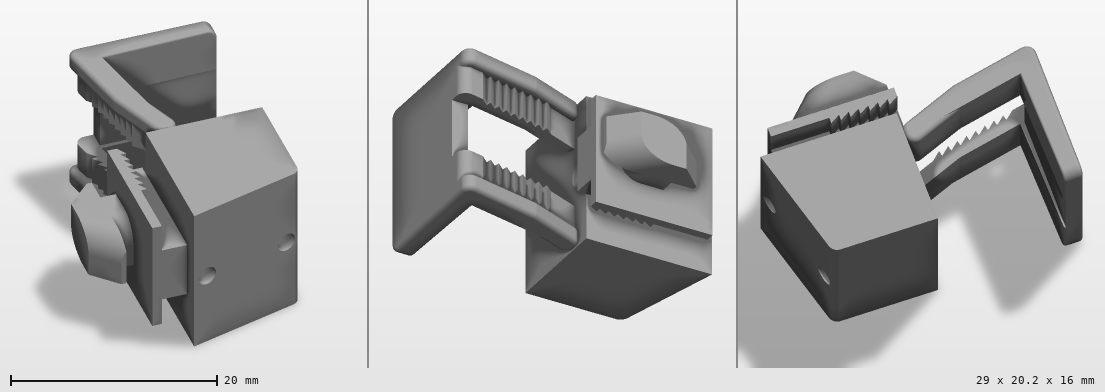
import cadquery as cq
import math

LENGTH = 29.0
HEIGHT = 16.0
BACK_Y = 12.0
ROUND = 1.0

BLOCK_X = 15.0
BLOCK_TAPER = 15.0
HOLE_RADIUS = 1.0
HOLE_CHAMFER = 0.3
HOLE_EDGE = 1.5
RAIL_X = 14.0
RAIL_LENGTH = 13.0
NECK_DEPTH = 2.6
NECK_HEIGHT = 6.0
PLATE_THICKNESS = 1.0
PLATE_HEIGHT = 12.0
RAIL_PITCH = RAIL_LENGTH / 13
RAIL_TEETH = 7
TOOTH_HEIGHT = 0.6
STEM_DEPTH = 1.6
STEM_SIZE = 5.02
FOOT_LENGTH = 10.0
FOOT_X = RAIL_X + FOOT_LENGTH / 2
FOOT_LIP = 0.52

CLIP_TOP_THICKNESS = 2.0
CLIP_ROOT_THICKNESS = 2.3
ARM_ANGLE = 12.2
TIP_ANGLE = 21.8
CORNER_Y = -3.02
LOWER_BEND_X = 8.82
UPPER_BEND_X = 9.0
UPPER_BEND_Y = 1.45
RIM_WIDTH = 1.83
EDGE_ROUND = 0.45
INNER_EDGE_ROUND = 0.2
RECESS_DEPTH = 0.8
CLIP_PITCH = 1.05
CLIP_TEETH = 9
CLIP_TEETH_X = 2.52
SLOT_HEIGHT = 6.4
SLOT_PLATE_THICKNESS = 1.83

TAN_ARM = math.tan(math.radians(ARM_ANGLE))
TAN_TIP = math.tan(math.radians(TIP_ANGLE))
COS_ARM = math.cos(math.radians(ARM_ANGLE))
SIN_ARM = math.sin(math.radians(ARM_ANGLE))

LOWER_BEND_Y = CORNER_Y + LOWER_BEND_X * TAN_ARM
TIP_LOW_Y = LOWER_BEND_Y + (BLOCK_X - LOWER_BEND_X) * TAN_TIP
TIP_HIGH_Y = UPPER_BEND_Y + (BLOCK_X - UPPER_BEND_X) * TAN_TIP
UPPER_OUTLINE = [
    (BLOCK_X, TIP_HIGH_Y),
    (UPPER_BEND_X, UPPER_BEND_Y),
    (CLIP_ROOT_THICKNESS, 0),
    (CLIP_TOP_THICKNESS, BACK_Y),
    (0, BACK_Y),
]


def prism(points, z_low, z_high):
    """Extrude an XY outline between two Z levels."""
    return cq.Workplane("XY", origin=(0, 0, z_low)).polyline(points).close().extrude(z_high - z_low)


def box(x_range, y_range, height):
    """Box centred on Z = 0."""
    (x0, x1), (y0, y1) = x_range, y_range
    return prism([(x0, y0), (x1, y0), (x1, y1), (x0, y1)], -height / 2, height / 2)


def round_upright_edges(body, corners, radius):
    """Round the Z edges that pass through the given XY corners."""
    for x, y in corners:
        body = body.edges("|Z").edges(cq.selectors.NearestToPointSelector((x, y, body.val().Center().z)))
        body = body.fillet(radius)
    return body


def make_block():
    back_x = LENGTH - BACK_Y * math.tan(math.radians(BLOCK_TAPER))
    outline = [(BLOCK_X, 0), (LENGTH, 0), (back_x, BACK_Y), (BLOCK_X, BACK_Y)]
    block = prism(outline, -HEIGHT / 2, HEIGHT / 2)
    block = round_upright_edges(block, [(back_x, BACK_Y)], ROUND)
    for y in (HOLE_EDGE, BACK_Y - HOLE_EDGE):
        block = block.cut(make_hole(y))
    return block


def make_hole(y):
    """Through hole along X with a 45 degree chamfer at its mouth."""
    mouth_radius = HOLE_RADIUS + HOLE_CHAMFER
    profile = [
        (BLOCK_X, y),
        (BLOCK_X, y + mouth_radius),
        (BLOCK_X + HOLE_CHAMFER, y + HOLE_RADIUS),
        (LENGTH, y + HOLE_RADIUS),
        (LENGTH, y),
    ]
    return cq.Workplane("XY").polyline(profile).close().revolve(360, (BLOCK_X, y), (LENGTH, y))


def make_rail():
    rail_end = RAIL_X + RAIL_LENGTH
    plate_back = -NECK_DEPTH
    plate_front = plate_back - PLATE_THICKNESS
    neck = box((RAIL_X, rail_end), (plate_back, 0), NECK_HEIGHT)
    outline = [(RAIL_X, plate_front), (RAIL_X, plate_back)]
    for i in range(1, RAIL_TEETH + 1):
        x = RAIL_X + i * RAIL_PITCH
        outline += [(x, plate_back + TOOTH_HEIGHT), (x, plate_back)]
    outline += [(rail_end, plate_back), (rail_end, plate_front)]
    return neck.union(prism(outline, -PLATE_HEIGHT / 2, PLATE_HEIGHT / 2))


def round_opposite_edges(body, y):
    """Round the two edges at the low-X low-Z and high-X high-Z corners of the section at depth y."""
    for side in (-1, 1):
        far_point = (FOOT_X + side * LENGTH, y, side * LENGTH)
        corner = cq.selectors.NearestToPointSelector(far_point)
        body = body.edges("not(|X or |Z)").edges(corner).fillet(STEM_SIZE / 2)
    return body


def make_foot():
    """Stem and 45 degree bar with two opposite long edges rounded, so it can turn in a slot."""
    half = STEM_SIZE / 2
    stem_start = -NECK_DEPTH - PLATE_THICKNESS
    bar_start = stem_start - STEM_DEPTH
    flank_depth = (FOOT_LENGTH - STEM_SIZE) / 2
    bar_end = bar_start - FOOT_LIP - flank_depth

    stem = box((FOOT_X - half, FOOT_X + half), (bar_start, stem_start), STEM_SIZE)
    stem = round_opposite_edges(stem, (bar_start + stem_start) / 2)

    wide = half + flank_depth + FOOT_LIP
    flanks = [
        (FOOT_X - half, bar_end),
        (FOOT_X + half, bar_end),
        (FOOT_X + wide, bar_start),
        (FOOT_X - wide, bar_start),
    ]
    bar = prism(flanks, -half, half)
    bar = round_opposite_edges(bar, (bar_start + bar_end) / 2)
    bar = bar.intersect(box((RAIL_X, RAIL_X + FOOT_LENGTH), (bar_end, bar_start), STEM_SIZE))
    return stem.union(bar)


def make_base():
    return make_block().union(make_rail()).union(make_foot())


def round_inner_top_edge(body, z):
    """Soften the inner rear edge of the plate, and the edges running smoothly on from it."""
    edge = cq.selectors.NearestToPointSelector((CLIP_TOP_THICKNESS, BACK_Y, z))
    return body.edges("|Z").edges(edge).fillet(INNER_EDGE_ROUND)


def is_free_edge(edge):
    """True for the outer edges of a rim side, false for the inner edges of plate and arm root."""
    center = edge.Center()
    inside_bend = EDGE_ROUND < center.x < UPPER_BEND_X and center.y > 0
    return not inside_bend


def make_upper_rim():
    """Full-depth rim at the top of the clip with its free edges rounded."""
    top = HEIGHT / 2
    low = top - RIM_WIDTH
    outline = [(0, CORNER_Y), (LOWER_BEND_X, LOWER_BEND_Y), (BLOCK_X, TIP_LOW_Y)] + UPPER_OUTLINE
    rim = prism(outline, low, top)
    rim = round_upright_edges(rim, [(0, CORNER_Y), (BLOCK_X, TIP_LOW_Y), (BLOCK_X, TIP_HIGH_Y)], ROUND)
    rim = rim.edges("|X and >Y and >Z").fillet(ROUND)
    rim = round_inner_top_edge(rim, low)
    free_edges = rim.faces("<Z or >Z").edges().filter(is_free_edge)
    return rim.newObject(free_edges.vals()).fillet(EDGE_ROUND)


def make_middle():
    """Recessed stretch between the rims, with ratchet teeth under the arm."""
    floor_y = CORNER_Y + RECESS_DEPTH / COS_ARM
    outline = [(0, floor_y)]
    for i in range(CLIP_TEETH):
        tip_x = CLIP_TEETH_X + i * CLIP_PITCH * COS_ARM
        tip_y = floor_y + tip_x * TAN_ARM
        valley_x = tip_x + CLIP_PITCH * COS_ARM - TOOTH_HEIGHT * SIN_ARM
        valley_y = tip_y + CLIP_PITCH * SIN_ARM + TOOTH_HEIGHT * COS_ARM
        outline += [(tip_x, tip_y), (valley_x, valley_y)]
    outline.append((BLOCK_X, valley_y + (BLOCK_X - valley_x) * TAN_TIP))
    reach = HEIGHT / 2 - ROUND
    middle = prism(outline + UPPER_OUTLINE, -reach, reach)
    middle = round_upright_edges(middle, [(0, floor_y), (BLOCK_X, TIP_HIGH_Y)], ROUND)
    middle = middle.edges("|Z and <X and >Y").fillet(EDGE_ROUND)
    return round_inner_top_edge(middle, 0)


def make_clip():
    rim = make_upper_rim()
    clip = make_middle().union(rim).union(rim.mirror("XY"))
    arm_slot = box((SLOT_PLATE_THICKNESS, BLOCK_X), (CORNER_Y, BACK_Y), SLOT_HEIGHT)
    root_slot = box((0, SLOT_PLATE_THICKNESS), (CORNER_Y, 0), SLOT_HEIGHT)
    return clip.cut(arm_slot).cut(root_slot)


base = make_base()
clip = make_clip()
result = cq.Compound.makeCompound([base.val(), clip.val()])